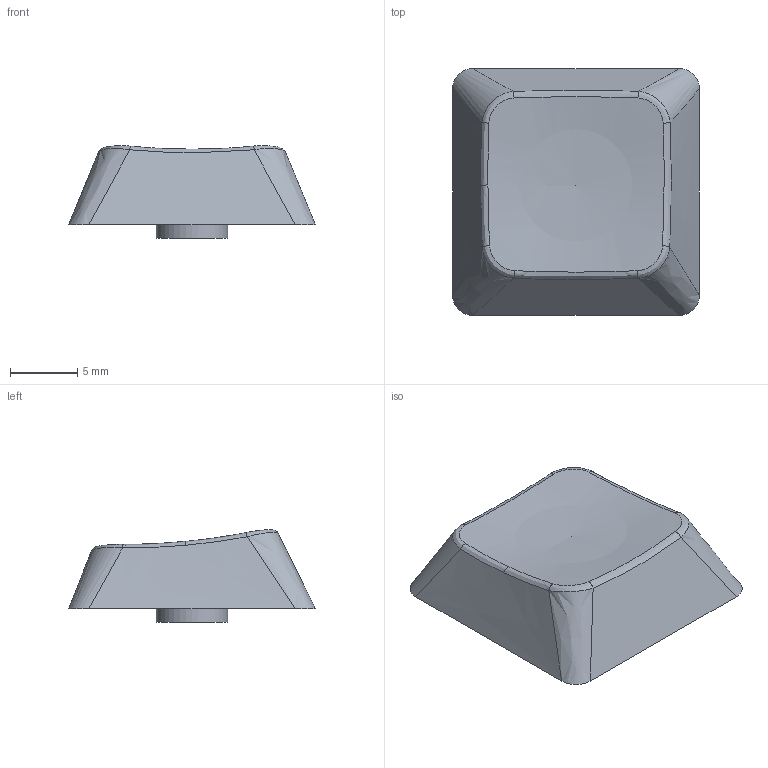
import cadquery as cq
import math

BASE_SIZE = 18.3
BASE_CORNER_RADIUS = 1.5

TOP_SIZE = 13.5
TOP_CORNER_RADIUS = 2.4
TOP_OFFSET_Y = 0.55
TOP_HEIGHT = 5.4
TOP_TILT = 5.5

DISH_RADIUS = 46.0
DISH_DEPTH = 0.87
RIM_FILLET = 0.5

STEM_DIAMETER = 5.3
STEM_LENGTH = 1.0


def tilted_top_plane():
    """Plane of the top outline; its local X points along -X."""
    tilt = math.radians(TOP_TILT)
    return cq.Plane(
        origin=(0, TOP_OFFSET_Y, TOP_HEIGHT),
        xDir=(-1, 0, 0),
        normal=(0, math.sin(tilt), math.cos(tilt)),
    )


def make_body(top_plane):
    """Tapered body lofted from the base outline to the tilted top outline."""
    base_outline = cq.Sketch().rect(BASE_SIZE, BASE_SIZE).vertices().fillet(BASE_CORNER_RADIUS)
    top_outline = cq.Sketch().rect(TOP_SIZE, TOP_SIZE).vertices().fillet(TOP_CORNER_RADIUS)
    top_outline = top_outline.moved(top_plane.location)
    return cq.Workplane("XY").placeSketch(base_outline, top_outline).loft(ruled=True)


def make_dish(top_plane):
    """Ball that hollows the top, sunk DISH_DEPTH below the middle of the top plane."""
    ball_centre_height = DISH_RADIUS - DISH_DEPTH
    return cq.Workplane(top_plane).workplane(offset=ball_centre_height).sphere(DISH_RADIUS)


def round_rim(body):
    """Fillet the edge between the dish and the side walls."""
    dish_bottom = (0, TOP_OFFSET_Y, TOP_HEIGHT - DISH_DEPTH)
    dish_face = body.faces(cq.selectors.NearestToPointSelector(dish_bottom))
    return dish_face.edges().fillet(RIM_FILLET)


def make_stem():
    """Cylinder hanging below the base."""
    return cq.Workplane("XY").circle(STEM_DIAMETER / 2).extrude(-STEM_LENGTH)


top_plane = tilted_top_plane()
dished_body = make_body(top_plane).cut(make_dish(top_plane))
result = round_rim(dished_body).union(make_stem())